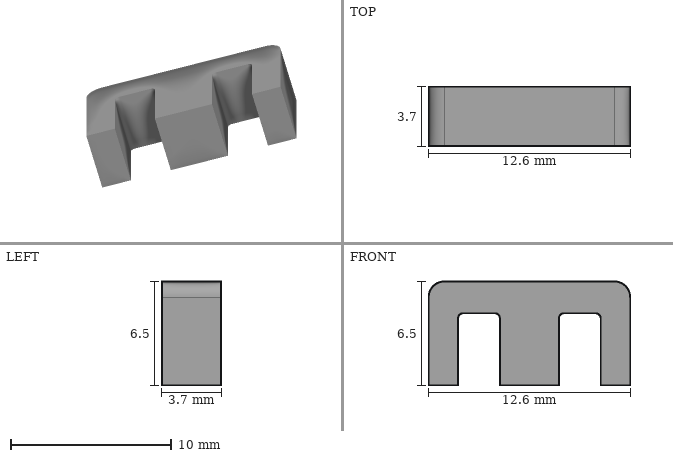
import cadquery as cq

length = 12.6
depth = 3.7
height = 6.5

center_leg_width = depth
outer_leg_width = center_leg_width / 2
slot_width = (length - center_leg_width - 2 * outer_leg_width) / 2
slot_height = 4.5
slot_offset = (center_leg_width + slot_width) / 2

outer_corner_radius = 1.0
slot_corner_radius = 0.3


def rounded_top_block(width, block_height, radius):
    """Block standing on Z = 0, with its two upper edges rounded."""
    block = cq.Workplane("XY").box(width, depth, block_height, centered=(True, True, False))
    return block.edges("|Y and >Z").fillet(radius)


result = rounded_top_block(length, height, outer_corner_radius)

slot = rounded_top_block(slot_width, slot_height, slot_corner_radius)
for side in (-1, 1):
    result = result.cut(slot.translate((side * slot_offset, 0, 0)))